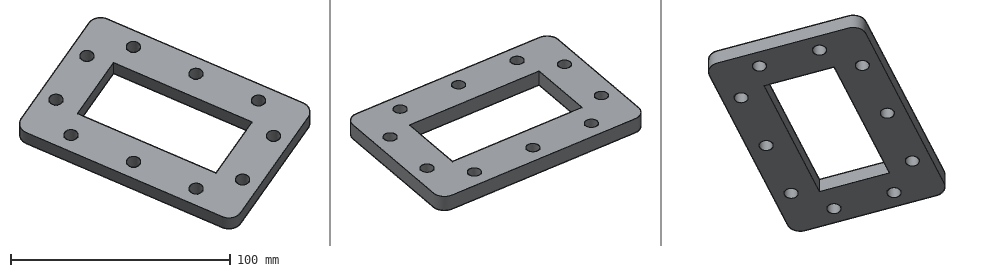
import cadquery as cq

length = 114.3
width = 76.2
thickness = 8.0
corner_radius = 6.2

window_length = 72.1
window_width = 34.1

hole_diameter = 6.4
long_side_pitch = 32.6
long_side_offset = 29.5
short_side_pitch = 29.3
short_side_offset = 48.6


def bolt_positions():
    """Hole centres around the window, symmetric about both plate axes."""
    positions = []
    for side in (-1, 1):
        for step in (-1, 0, 1):
            positions.append((step * long_side_pitch, side * long_side_offset))
        for half_step in (-0.5, 0.5):
            positions.append((side * short_side_offset, half_step * short_side_pitch))
    return positions


plate = cq.Workplane("XY").box(length, width, thickness).edges("|Z").fillet(corner_radius)
window = cq.Workplane("XY").box(window_length, window_width, thickness)
result = plate.cut(window).faces(">Z").workplane().pushPoints(bolt_positions()).hole(hole_diameter)